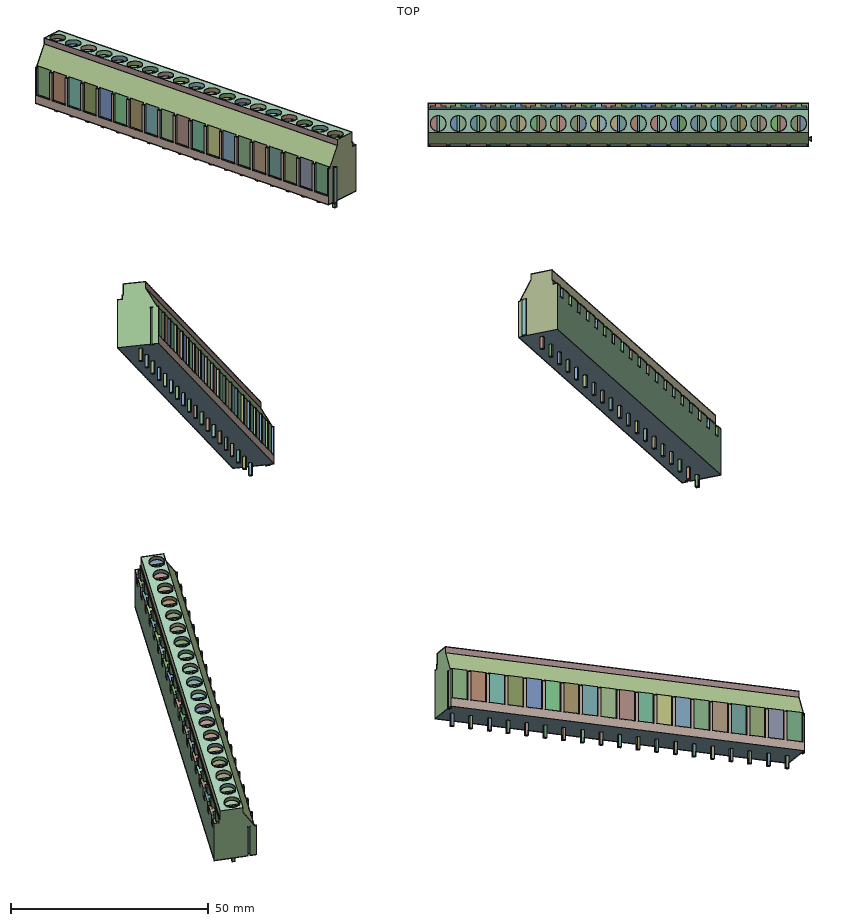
import cadquery as cq

pole_count = 19
pin_span = 91.4
pitch = pin_span / (pole_count - 1)
body_length = pole_count * pitch
pole_positions = [(i + 0.5) * pitch for i in range(pole_count)]

body_depth = 11.0
body_height = 17.0
lip_y = 3.5
lip_height = 1.7
shoulder_height = 10.0
shoulder_width = 0.4
ledge_height = 12.9
ledge_width = 1.3
step_height = 14.1
step_width = 0.3

window_width = 4.3
window_bottom = 2.3
window_recess = 0.6

screw_y = 5.8
screw_diameter = 4.0
screw_recess = 1.2
slot_width = 0.6
slot_depth = 0.5

notch_stem_width = 1.5
notch_stem_depth = 0.7
notch_head_width = 3.9
notch_drop = 2.9

pin_y = body_depth / 2
pin_width = 0.8
pin_length = 3.3

total_length = 97.2
dovetail_length = total_length - body_length
dovetail_y = 1.9
dovetail_neck = 0.5
dovetail_head = 1.3


def box(x_size, y_size, z_size, x_center, y_start, z_start):
    """Box centred on x_center, growing toward +Y and +Z from its start values."""
    return (
        cq.Workplane("XY")
        .box(x_size, y_size, z_size, centered=(True, False, False))
        .translate((x_center, y_start, z_start))
    )


def make_body():
    outline = [
        (0, 0),
        (body_depth, 0),
        (body_depth, ledge_height),
        (body_depth - ledge_width, ledge_height),
        (body_depth - ledge_width, step_height),
        (body_depth - ledge_width - step_width, step_height),
        (body_depth - ledge_width - step_width, body_height),
        (lip_y, body_height),
        (lip_y, body_height - lip_height),
        (shoulder_width, shoulder_height),
        (0, shoulder_height),
    ]
    return cq.Workplane("YZ").polyline(outline).close().extrude(body_length)


def make_window(x):
    """Front recess, open upward through the slope."""
    height = body_height - window_bottom
    return box(window_width, window_recess, height, x, 0, window_bottom)


def make_screw_recess(x):
    """Round recess above the screw head, with the driver slot in its floor."""
    head_top = body_height - screw_recess
    slot_floor = head_top - slot_depth
    slot_start = screw_y - screw_diameter / 2
    well = cq.Workplane("XY").center(x, screw_y).circle(screw_diameter / 2).extrude(body_height)
    slot = box(slot_width, screw_diameter, body_height, x, slot_start, slot_floor)
    above_head = box(screw_diameter, screw_diameter, screw_recess, x, slot_start, head_top)
    return well.intersect(slot.union(above_head))


def make_notch(x):
    """T-shaped notch: wide head along the ledge wall, stem open to the back face."""
    floor = ledge_height - notch_drop
    head_start = body_depth - ledge_width
    head_depth = ledge_width - notch_stem_depth
    head = box(notch_head_width, head_depth, notch_drop, x, head_start, floor)
    stem = box(notch_stem_width, ledge_width, notch_drop, x, head_start, floor)
    return head.union(stem)


def make_pin(x):
    return box(pin_width, pin_width, pin_length, x, pin_y - pin_width / 2, -pin_length)


def make_dovetail(x_start):
    """Upright dovetail bar, widening toward +X from its neck at x_start."""
    x_end = x_start + dovetail_length
    outline = [
        (x_start, dovetail_y - dovetail_neck / 2),
        (x_end, dovetail_y - dovetail_head / 2),
        (x_end, dovetail_y + dovetail_head / 2),
        (x_start, dovetail_y + dovetail_neck / 2),
    ]
    return cq.Workplane("XY").polyline(outline).close().extrude(shoulder_height)


def at_every_pole(make_feature):
    return cq.Workplane("XY").newObject([make_feature(x).val() for x in pole_positions]).combine()


result = make_body()
for make_cut in (make_window, make_screw_recess, make_notch):
    result = result.cut(at_every_pole(make_cut))
result = result.cut(make_dovetail(0))
result = result.union(at_every_pole(make_pin))
result = result.union(make_dovetail(body_length))